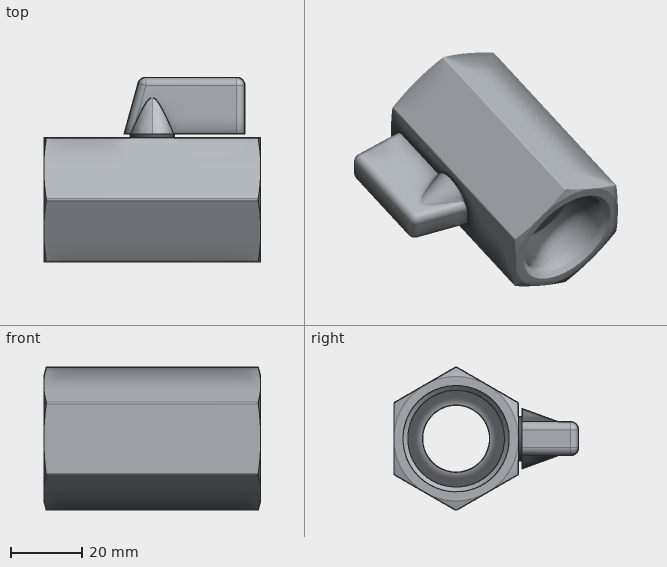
import cadquery as cq
import math

length = 61.1
across_flats = 35.05
corner_radius = 0.6
end_chamfer_angle = 15.0
bore_diameter = 18.8
socket_diameter = 27.25
socket_depth = 15.65
mouth_diameter = 29.9
mouth_chamfer_angle = 45.0

handle_top = 34.5
neck_diameter = 12.5
neck_height = 1.05
blade_thickness = 9.6
blade_front = -7.95
blade_back = 26.1
blade_front_angle = 15.4
blade_radius = 2.3
hub_width = 14.65
hub_span = 17.0
hub_taper = 20.0
hub_height = 11.0

flat_y = across_flats / 2
blade_base = flat_y + neck_height
blade_height = handle_top - blade_base
half_length = length / 2


def make_end_chamfer_envelope():
    """Round bar whose conical ends trim the hexagon corners."""
    outer_radius = across_flats / math.sqrt(3)
    chamfer_length = (outer_radius - flat_y) * math.tan(math.radians(end_chamfer_angle))
    shoulder = half_length - chamfer_length
    return (
        cq.Workplane("XY")
        .moveTo(-half_length, 0)
        .lineTo(-half_length, flat_y)
        .lineTo(-shoulder, outer_radius)
        .lineTo(shoulder, outer_radius)
        .lineTo(half_length, flat_y)
        .lineTo(half_length, 0)
        .close()
        .revolve(360, (0, 0, 0), (1, 0, 0))
    )


def make_bore():
    """Through bore with a wider, chamfered pipe socket at each end."""
    bore_radius = bore_diameter / 2
    socket_radius = socket_diameter / 2
    mouth_radius = mouth_diameter / 2
    mouth_depth = (mouth_radius - socket_radius) / math.tan(math.radians(mouth_chamfer_angle))
    socket_end = half_length - socket_depth
    mouth_end = half_length - mouth_depth
    return (
        cq.Workplane("XY")
        .moveTo(-half_length, 0)
        .lineTo(-half_length, mouth_radius)
        .lineTo(-mouth_end, socket_radius)
        .lineTo(-socket_end, socket_radius)
        .lineTo(-socket_end, bore_radius)
        .lineTo(socket_end, bore_radius)
        .lineTo(socket_end, socket_radius)
        .lineTo(mouth_end, socket_radius)
        .lineTo(half_length, mouth_radius)
        .lineTo(half_length, 0)
        .close()
        .revolve(360, (0, 0, 0), (1, 0, 0))
    )


def make_housing():
    """Hexagonal bar with flats on +Y and -Y and corners on +Z and -Z."""
    hexagon = (
        cq.Workplane("YZ")
        .polygon(6, across_flats, circumscribed=True)
        .extrude(half_length, both=True)
        .edges("|X")
        .fillet(corner_radius)
    )
    return hexagon.intersect(make_end_chamfer_envelope()).cut(make_bore())


def make_blade():
    """Grip plate with a slanted front edge, rounded everywhere but underneath."""
    slant_offset = blade_height * math.tan(math.radians(blade_front_angle))
    return (
        cq.Workplane("XY")
        .moveTo(blade_front, blade_base)
        .lineTo(blade_back, blade_base)
        .lineTo(blade_back, handle_top)
        .lineTo(blade_front + slant_offset, handle_top)
        .close()
        .extrude(blade_thickness / 2, both=True)
        .edges("not <Y")
        .fillet(blade_radius)
    )


def make_hub():
    """Oval hub that tapers into both faces of the blade."""
    return (
        cq.Workplane("XZ", origin=(0, blade_base, 0))
        .ellipse(hub_width / 2, hub_span / 2)
        .extrude(-hub_height, taper=hub_taper)
    )


def make_neck():
    return cq.Workplane("XZ", origin=(0, flat_y, 0)).circle(neck_diameter / 2).extrude(-neck_height)


def make_handle():
    return make_blade().union(make_hub()).union(make_neck())


housing = make_housing()
handle = make_handle()
result = cq.Compound.makeCompound([housing.val(), handle.val()])